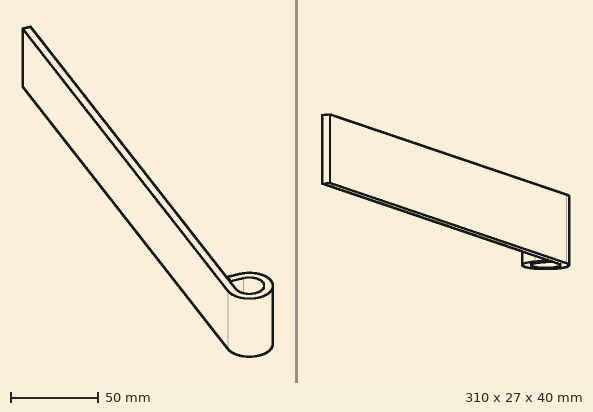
import cadquery as cq
import math

total_length = 310.0
strap_height = 40.0
thickness = 5.0
eye_outer_diameter = 27.0
end_gap = 0.5

outer_radius = eye_outer_diameter / 2
inner_radius = outer_radius - thickness
strap_start_x = outer_radius - total_length
curl_end_y = -inner_radius + end_gap

diagonal = math.sqrt(0.5)


def strap_profile():
    """Flat strap curled three quarters of a turn, ending in a short straight leg."""
    return (
        cq.Workplane("XY")
        .moveTo(strap_start_x, -outer_radius)
        .lineTo(0, -outer_radius)
        .threePointArc((outer_radius, 0), (0, outer_radius))
        .threePointArc((-outer_radius * diagonal, outer_radius * diagonal), (-outer_radius, 0))
        .lineTo(-outer_radius, curl_end_y)
        .lineTo(-inner_radius, curl_end_y)
        .lineTo(-inner_radius, 0)
        .threePointArc((-inner_radius * diagonal, inner_radius * diagonal), (0, inner_radius))
        .threePointArc((inner_radius, 0), (0, -inner_radius))
        .lineTo(strap_start_x, -inner_radius)
        .close()
    )


result = strap_profile().extrude(strap_height)